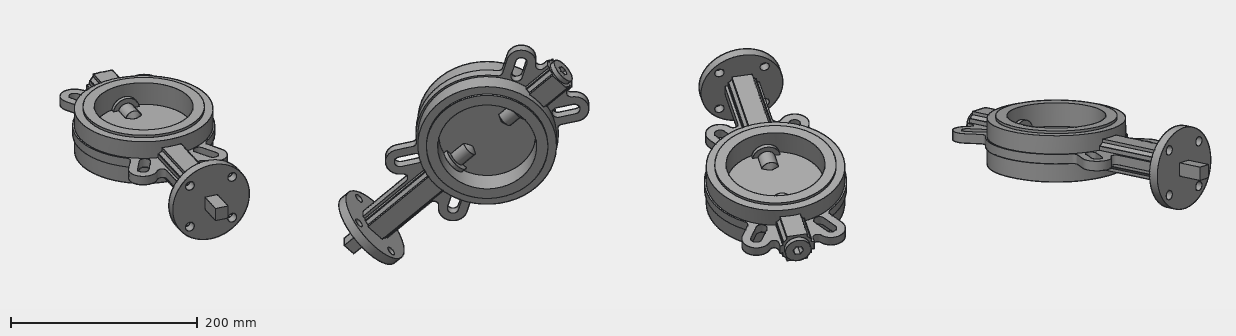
import cadquery as cq
import math


RING_RADIUS = 74.3
RING_HEIGHT = 51.0
SEAT_RADIUS = 65.0
SEAT_HEIGHT = 56.8
BORE_RADIUS = 53.0

PLATE_THICKNESS = 10.5
PLATE_HALF_WIDTH = 18.8
RIM_RADIUS = 76.2
LUG_X = 90.3
LUG_Y = 40.8
LUG_RADIUS = 15.5
LUG_ANGLE = math.radians(30)
LUG_FILLET = 5.0
SLOT_WIDTH = 12.0
SLOT_LENGTH = 18.2

NECK_START = -107.8
NECK_HALF_WIDTH = 15.5
NECK_HALF_HEIGHT = 17.0
NECK_TOP_HALF_WIDTH = 11.2
NECK_LEDGE_HEIGHT = 10.0
NECK_CHAMFER = 3.5
BOSS_RADIUS = 14.0
BOSS_LENGTH = 5.5
SOCKET_SIDES = 6
SOCKET_RADIUS = 5.7
SOCKET_TURN = 6.0
SOCKET_DEPTH = 19.0
FLANGE_START = 166.8
FLANGE_RADIUS = 45.0
FLANGE_THICKNESS = 11.0
BOLT_CIRCLE_RADIUS = 35.0
BOLT_HOLE_RADIUS = 5.0
BOLT_COUNT = 4

TOTAL_LENGTH = 319.0
STEM_SIDE = 14.7

DISC_RADIUS = 52.3
DISC_THICKNESS = 5.0
HUB_RADIUS = 15.3
HUB_INNER_X = 45.3
PIVOT_RADIUS = 9.5
PIVOT_END_X = 26.0
PIVOT_CONE_LENGTH = 5.7

BOSS_START = NECK_START - BOSS_LENGTH
FLANGE_END = FLANGE_START + FLANGE_THICKNESS
STEM_END = BOSS_START + TOTAL_LENGTH


def disc_along_z(radius, height):
    """Cylinder about Z, centred on the origin."""
    return cq.Workplane("XY").circle(radius).extrude(height / 2, both=True)


def rod_along_x(radius, start, end):
    """Cylinder about X between two X positions."""
    return cq.Workplane("YZ", origin=(start, 0, 0)).circle(radius).extrude(end - start)


def toward(point, target, distance):
    """Point at a distance from one point in the direction of another."""
    reach = math.dist(point, target)
    return tuple(p + (t - p) * distance / reach for p, t in zip(point, target))


def make_lug():
    """Lug in the +X +Y quarter, blended into the rim and the neck edge, and the cutter for its slot."""
    centre = (LUG_X, LUG_Y)
    cosine = math.cos(LUG_ANGLE)
    sine = math.sin(LUG_ANGLE)

    neck_fillet_y = PLATE_HALF_WIDTH + LUG_FILLET
    neck_reach = math.sqrt((LUG_RADIUS + LUG_FILLET) ** 2 - (LUG_Y - neck_fillet_y) ** 2)
    neck_fillet = (LUG_X + neck_reach, neck_fillet_y)
    neck_tangent = (neck_fillet[0], PLATE_HALF_WIDTH)
    round_tangent = toward(centre, neck_fillet, LUG_RADIUS)
    neck_fillet_middle = (neck_fillet[0] - LUG_FILLET, neck_fillet_y)

    axis_offset = LUG_Y * cosine - LUG_X * sine
    across = axis_offset + LUG_RADIUS + LUG_FILLET
    along = math.sqrt((RIM_RADIUS + LUG_FILLET) ** 2 - across**2)
    rim_fillet = (along * cosine - across * sine, along * sine + across * cosine)
    edge_tangent = (rim_fillet[0] + LUG_FILLET * sine, rim_fillet[1] - LUG_FILLET * cosine)
    rim_tangent = toward(rim_fillet, (0, 0), LUG_FILLET)
    chord_middle = tuple((e + r) / 2 for e, r in zip(edge_tangent, rim_tangent))
    rim_fillet_middle = toward(rim_fillet, chord_middle, LUG_FILLET)

    edge_start = (LUG_X - LUG_RADIUS * sine, LUG_Y + LUG_RADIUS * cosine)
    lug_tip = (LUG_X + LUG_RADIUS * cosine, LUG_Y + LUG_RADIUS * sine)
    lug = (
        cq.Workplane("XY")
        .moveTo(BORE_RADIUS, 0)
        .lineTo(neck_tangent[0], 0)
        .lineTo(*neck_tangent)
        .threePointArc(neck_fillet_middle, round_tangent)
        .threePointArc(lug_tip, edge_start)
        .lineTo(*edge_tangent)
        .threePointArc(rim_fillet_middle, rim_tangent)
        .close()
        .extrude(PLATE_THICKNESS / 2, both=True)
    )

    slot_middle = (LUG_X - SLOT_LENGTH / 2 * cosine, LUG_Y - SLOT_LENGTH / 2 * sine)
    slot = (
        cq.Workplane("XY")
        .center(*slot_middle)
        .slot2D(SLOT_LENGTH + SLOT_WIDTH, SLOT_WIDTH, math.degrees(LUG_ANGLE))
        .extrude(PLATE_THICKNESS, both=True)
    )
    return lug, slot


def make_plate():
    """Middle plate with its rim, the neck edges and four mirrored lugs."""
    plate = disc_along_z(RIM_RADIUS, PLATE_THICKNESS)
    neck_edges = cq.Workplane("XY").box(
        FLANGE_START - NECK_START, 2 * PLATE_HALF_WIDTH, PLATE_THICKNESS, centered=(False, True, True)
    )
    plate = plate.union(neck_edges.translate((NECK_START, 0, 0)))
    lug, slot = make_lug()
    lug_pair = lug.union(lug.mirror("XZ"))
    slot_pair = slot.union(slot.mirror("XZ"))
    plate = plate.union(lug_pair).union(lug_pair.mirror("YZ"))
    return plate.cut(slot_pair).cut(slot_pair.mirror("YZ"))


def make_neck():
    """Stepped and chamfered bar along X, from the boss to the flange."""
    corner = [
        (NECK_HALF_WIDTH, NECK_LEDGE_HEIGHT),
        (NECK_TOP_HALF_WIDTH + NECK_CHAMFER, NECK_LEDGE_HEIGHT),
        (NECK_TOP_HALF_WIDTH, NECK_LEDGE_HEIGHT + NECK_CHAMFER),
        (NECK_TOP_HALF_WIDTH, NECK_HALF_HEIGHT),
    ]
    upper = corner + [(-y, z) for y, z in reversed(corner)]
    lower = [(-y, -z) for y, z in upper]
    neck = cq.Workplane("YZ", origin=(NECK_START, 0, 0)).polyline(upper + lower).close()
    return neck.extrude(FLANGE_START - NECK_START)


def make_flange():
    """Round actuator flange with bolt holes on the diagonals."""
    flange = rod_along_x(FLANGE_RADIUS, FLANGE_START, FLANGE_END)
    bolt_holes = (
        cq.Workplane("YZ", origin=(FLANGE_START, 0, 0))
        .polarArray(BOLT_CIRCLE_RADIUS, 180 / BOLT_COUNT, 360, BOLT_COUNT)
        .circle(BOLT_HOLE_RADIUS)
        .extrude(FLANGE_THICKNESS)
    )
    return flange.cut(bolt_holes)


def make_stem():
    """Square drive end that stands on the flange."""
    stem = cq.Workplane("YZ", origin=(FLANGE_END, 0, 0)).rect(STEM_SIDE, STEM_SIDE)
    return stem.extrude(STEM_END - FLANGE_END)


def make_socket():
    """Hexagon socket sunk into the end of the boss."""
    socket = cq.Workplane("YZ").polygon(SOCKET_SIDES, 2 * SOCKET_RADIUS).extrude(SOCKET_DEPTH)
    return socket.rotate((0, 0, 0), (1, 0, 0), SOCKET_TURN).translate((BOSS_START, 0, 0))


def make_housing():
    """Ring, seat faces, plate, neck, boss, flange and stem, with the bore cut through."""
    housing = (
        make_plate()
        .union(disc_along_z(RING_RADIUS, RING_HEIGHT))
        .union(disc_along_z(SEAT_RADIUS, SEAT_HEIGHT))
        .union(make_neck())
        .union(rod_along_x(BOSS_RADIUS, BOSS_START, NECK_START))
        .union(make_flange())
        .union(make_stem())
    )
    bore = disc_along_z(BORE_RADIUS, SEAT_HEIGHT)
    return housing.cut(bore).cut(make_socket())


def make_pivot():
    """Hub and cone-ended pivot on the +X side of the disc, as a turned profile about X."""
    profile = [
        (PIVOT_END_X - PIVOT_CONE_LENGTH, 0),
        (PIVOT_END_X, PIVOT_RADIUS),
        (HUB_INNER_X, PIVOT_RADIUS),
        (HUB_INNER_X, HUB_RADIUS),
        (DISC_RADIUS, HUB_RADIUS),
        (DISC_RADIUS, 0),
    ]
    return cq.Workplane("XY").polyline(profile).close().revolve(360, (0, 0, 0), (1, 0, 0))


def make_disc():
    """Closing disc with two pivots, bounded by a sphere that clears the bore."""
    pivot = make_pivot()
    disc = disc_along_z(DISC_RADIUS, DISC_THICKNESS).union(pivot).union(pivot.mirror("YZ"))
    return disc.intersect(cq.Workplane("XY").sphere(DISC_RADIUS))


housing = make_housing()
disc = make_disc()
result = cq.Compound.makeCompound([housing.val(), disc.val()])